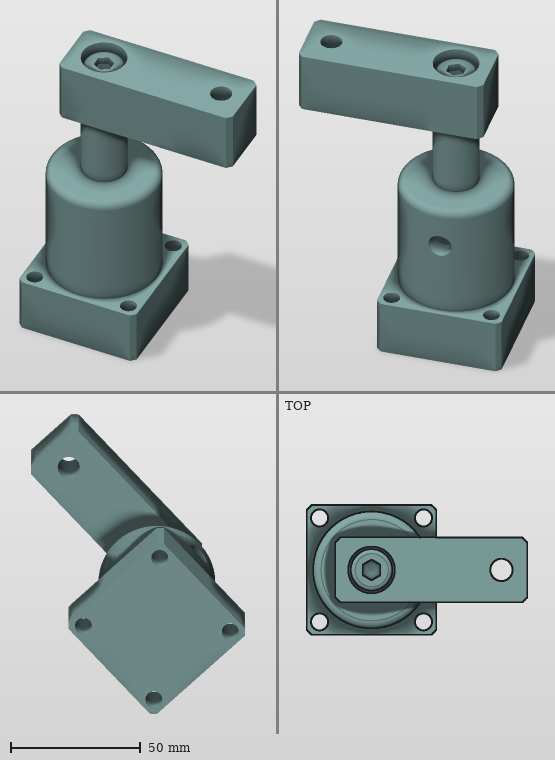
import cadquery as cq
import math

total_height = 125.0

base_side = 50.0
base_height = 22.8
base_corner_circle_diameter = 68.0
mount_hole_diameter = 6.5
mount_hole_spacing = 40.0
barrel_diameter = 45.0
barrel_top = 70.0
barrel_fillet = 3.0
port_diameter = 9.2
port_height = 53.5
port_depth = 7.5

arm_width = 25.0
arm_thickness = 25.0
arm_right_reach = 60.0
arm_left_reach = 14.0
arm_corner_chamfer = 2.0
tip_hole_diameter = 8.5
tip_hole_x = 50.0
counterbore_diameter = 18.0
arm_bottom = total_height - arm_thickness

rod_diameter = 18.0

head_diameter = 16.0
head_height = 10.0
head_recess = 3.0
head_fillet = 1.6
shank_diameter = 10.0
shank_depth_in_rod = 15.0
socket_across_flats = 6.9
socket_depth = 4.2
socket_cone_depth = 1.2
head_top = total_height - head_recess
head_seat = head_top - head_height
shank_bottom = arm_bottom - shank_depth_in_rod


def cylinder(diameter, bottom, top):
    """Solid cylinder on the rod axis between two heights."""
    return cq.Workplane("XY").workplane(offset=bottom).circle(diameter / 2).extrude(top - bottom)


def make_housing():
    base = (
        cq.Workplane("XY")
        .box(base_side, base_side, base_height, centered=(True, True, False))
        .intersect(cylinder(base_corner_circle_diameter, 0, base_height))
    )
    mount_holes = (
        cq.Workplane("XY")
        .rect(mount_hole_spacing, mount_hole_spacing, forConstruction=True)
        .vertices()
        .circle(mount_hole_diameter / 2)
        .extrude(base_height)
    )
    barrel = cylinder(barrel_diameter, base_height, barrel_top).faces(">Z").edges().fillet(barrel_fillet)
    port = (
        cq.Workplane("XZ", origin=(0, barrel_diameter / 2, port_height))
        .circle(port_diameter / 2)
        .extrude(port_depth)
    )
    return base.cut(mount_holes).union(barrel).cut(port)


def make_rod():
    rod = cylinder(rod_diameter, barrel_top, arm_bottom)
    screw_hole = cylinder(shank_diameter, shank_bottom, arm_bottom)
    return rod.cut(screw_hole)


def make_arm():
    arm_length = arm_left_reach + arm_right_reach
    arm_center_x = (arm_right_reach - arm_left_reach) / 2
    arm = (
        cq.Workplane("XY", origin=(arm_center_x, 0, arm_bottom))
        .box(arm_length, arm_width, arm_thickness, centered=(True, True, False))
        .edges("|Z")
        .chamfer(arm_corner_chamfer)
    )
    tip_hole = cylinder(tip_hole_diameter, arm_bottom, total_height).translate((tip_hole_x, 0, 0))
    screw_hole = cylinder(shank_diameter, arm_bottom, total_height)
    counterbore = cylinder(counterbore_diameter, head_seat, total_height)
    return arm.cut(tip_hole).cut(screw_hole).cut(counterbore)


def make_socket():
    """Hexagonal socket with corners on the Y axis and a conical bottom."""
    socket_across_corners = socket_across_flats / math.cos(math.pi / 6)
    corner_radius = socket_across_corners / 2
    cone_top = head_top - socket_depth + socket_cone_depth
    cone_tip = head_top - socket_depth
    hexagon = (
        cq.Workplane("XY")
        .workplane(offset=cone_tip)
        .polygon(6, socket_across_corners)
        .extrude(socket_depth)
        .rotate((0, 0, 0), (0, 0, 1), 90)
    )
    pointed_round = (
        cq.Workplane("XZ")
        .moveTo(0, cone_tip)
        .lineTo(corner_radius, cone_top)
        .lineTo(corner_radius, head_top)
        .lineTo(0, head_top)
        .close()
        .revolve(360, (0, 0, 0), (0, 1, 0))
    )
    return hexagon.intersect(pointed_round)


def make_screw():
    head = cylinder(head_diameter, head_seat, head_top).faces(">Z").edges().fillet(head_fillet)
    shank = cylinder(shank_diameter, shank_bottom, head_seat)
    return head.union(shank).cut(make_socket())


housing = make_housing()
rod = make_rod()
arm = make_arm()
screw = make_screw()

result = cq.Compound.makeCompound([housing.val(), rod.val(), arm.val(), screw.val()])